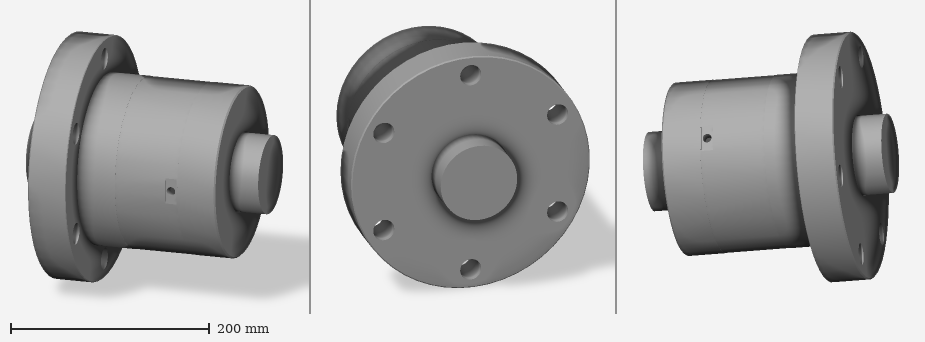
import cadquery as cq
import math


shaft_radius = 40.0
shaft_length = 246.0
shaft_overhang = 30.0

flange_radius = 125.0
flange_thickness = 40.0
barrel_radius = 87.5
waist_relief = 0.2
collar_length = 40.0
bore_clearance = 1.0
flange_front_chamfer = 1.2
flange_back_chamfer = 0.8
barrel_end_chamfer = 1.5

mount_hole_count = 6
mount_hole_diameter = 22.0
mount_circle_radius = 105.0

seat_width = 12.0
seat_depth = 1.2
seat_end_gap = 1.0
port_mouth_diameter = 9.0
port_bottom_diameter = 7.8
port_depth = 10.0

shaft_start = -shaft_length / 2
nut_start = shaft_start + shaft_overhang
nut_end = -nut_start
flange_end = nut_start + flange_thickness
waist_start = flange_end + collar_length
waist_end = nut_end - collar_length
waist_radius = barrel_radius - waist_relief
bore_radius = shaft_radius + bore_clearance
seat_center = waist_end - seat_end_gap - seat_width / 2
seat_floor = barrel_radius - seat_depth
port_taper = math.degrees(math.atan2((port_mouth_diameter - port_bottom_diameter) / 2, port_depth))


def cylinder_along_x(start, end, radius):
    return cq.Workplane("YZ", origin=(start, 0, 0)).circle(radius).extrude(end - start)


def make_shaft():
    return cylinder_along_x(shaft_start, -shaft_start, shaft_radius)


def make_flange():
    flange = cylinder_along_x(nut_start, flange_end, flange_radius)
    flange = flange.faces("<X").chamfer(flange_front_chamfer)
    flange = flange.faces(">X").chamfer(flange_back_chamfer)
    mount_holes = (
        cq.Workplane("YZ", origin=(nut_start, 0, 0))
        .polarArray(mount_circle_radius, 90, 360, mount_hole_count)
        .circle(mount_hole_diameter / 2)
        .extrude(flange_thickness)
    )
    return flange.cut(mount_holes)


def make_barrel():
    front_collar = cylinder_along_x(flange_end, waist_start, barrel_radius)
    waist = cylinder_along_x(waist_start, waist_end, waist_radius)
    rear_collar = cylinder_along_x(waist_end, nut_end, barrel_radius)
    rear_collar = rear_collar.faces(">X").chamfer(barrel_end_chamfer)
    return front_collar.union(waist).union(rear_collar)


def make_port_cutter(side):
    """Seat and blind tapered radial port; side is -1 for -Y and +1 for +Y."""
    seat_height = 2 * barrel_radius
    seat = cq.Workplane("XY").box(seat_width, seat_depth, seat_height)
    seat = seat.translate((seat_center, side * (seat_floor + seat_depth / 2), 0))
    port = (
        cq.Workplane("XZ", origin=(seat_center, side * seat_floor, 0))
        .circle(port_mouth_diameter / 2)
        .extrude(side * port_depth, taper=port_taper)
    )
    return seat.union(port)


def make_nut():
    nut = make_flange().union(make_barrel())
    for side in (-1, 1):
        nut = nut.cut(make_port_cutter(side))
    return nut.cut(cylinder_along_x(nut_start, nut_end, bore_radius))


shaft = make_shaft()
nut = make_nut()

result = cq.Compound.makeCompound([shaft.val(), *nut.vals()])